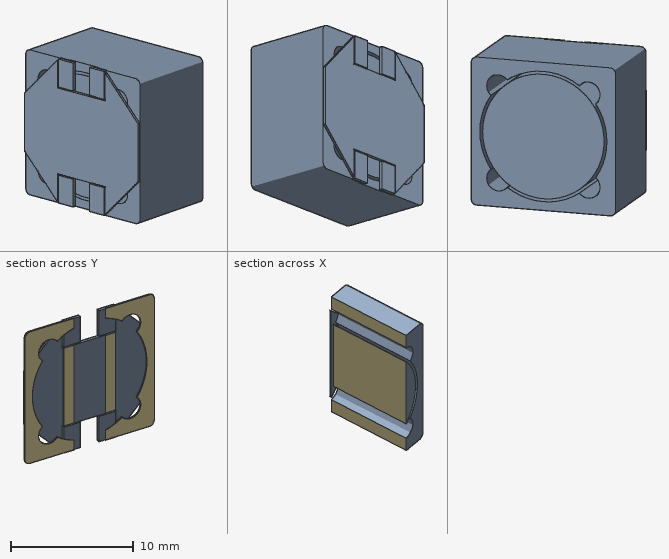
import cadquery as cq

side = 12.5
depth = 8.0
front = -depth / 2
back = depth / 2

corner_radius = 0.5
bore_diameter = 11.0
relief_radius = 1.0
relief_offset = 3.9

core_diameter = 10.5

plate_side = 12.4
plate_chamfer = 3.7
frame_setback = 0.2

pad_width = 1.6
pad_height = 2.4
pad_spacing = 3.4
pad_edge = 6.2
pad_gap = 0.1
notch_width = pad_spacing + pad_width + 2 * pad_gap
notch_bottom = pad_edge - pad_height - pad_gap

seat_width = 5.0
seat_setback = 0.3
groove_width = 3.0
groove_setback = 0.4


def block(width, height, start, end, x=0, z=0):
    """Rectangular block centred at (x, z), from depth start to depth end."""
    return cq.Workplane("XY").box(width, end - start, height).translate((x, (start + end) / 2, z))


def rod(diameter, start, end, x=0, z=0):
    """Cylinder along Y centred at (x, z)."""
    circle = cq.Workplane("XZ", origin=(x, start, z)).circle(diameter / 2)
    return circle.extrude(start - end)


def make_frame():
    frame_front = front + frame_setback
    frame = block(side, side, frame_front, back).edges("|Y").fillet(corner_radius)
    frame = frame.cut(rod(bore_diameter, frame_front, back))
    for x in (-relief_offset, relief_offset):
        for z in (-relief_offset, relief_offset):
            frame = frame.cut(rod(2 * relief_radius, frame_front, back, x, z))
    return frame


def make_plate():
    plate = block(plate_side, plate_side, front, front + frame_setback)
    plate = plate.edges("|Y").chamfer(plate_chamfer)
    notch_height = side / 2 - notch_bottom
    notch_center = notch_bottom + notch_height / 2
    for z in (-notch_center, notch_center):
        plate = plate.cut(block(notch_width, notch_height, front, front + frame_setback, 0, z))
    tongue_height = 2 * notch_bottom
    plate = plate.union(block(seat_width, tongue_height, front, front + seat_setback))
    spacer_width = (seat_width - groove_width) / 2
    spacer_center = (seat_width + groove_width) / 4
    for x in (-spacer_center, spacer_center):
        plate = plate.union(block(spacer_width, tongue_height, front, front + groove_setback, x))
    return plate


def make_pads():
    pads = cq.Workplane("XY")
    pad_center = pad_edge - pad_height / 2
    for x in (-pad_spacing / 2, pad_spacing / 2):
        for z in (-pad_center, pad_center):
            pads = pads.add(block(pad_width, pad_height, front, front + seat_setback, x, z))
    return pads.combine()


core = rod(core_diameter, front + groove_setback, back)
body = make_frame().union(core)
body = body.cut(block(seat_width, side, front, front + seat_setback))
body = body.cut(block(groove_width, side, front, front + groove_setback))

result = body.union(make_plate()).union(make_pads())